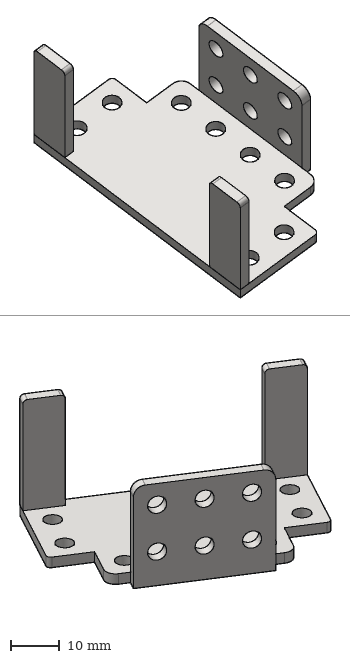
import cadquery as cq

SHEET = 2.5
BASE_WIDTH = 60.0
SHOULDER_DEPTH = 22.5
NECK_WIDTH = 40.0
NECK_DEPTH = 32.5
BACK_WIDTH = 30.0
BACK_HEIGHT = 24.0
TAB_WIDTH = 9.0
TAB_TOP = 28.5
TAB_SHIFT_X = 0.01
TAB_SETBACK = 0.005

LARGE_RADIUS = 2.5
SMALL_RADIUS = 1.0

HOLE_DIAMETER = 4.0
HOLE_PITCH = 10.0
HOLE_EDGE = 5.0
NECK_HOLES = 4
BACK_COLUMNS = 3
BACK_ROW_SPACING = 11.0

SIDE_HOLE_X = BASE_WIDTH / 2 - HOLE_EDGE
TAB_CENTRE_X = (BASE_WIDTH - TAB_WIDTH) / 2


def centred_row(count, pitch):
    """Evenly spaced positions, symmetric about zero."""
    return [(i - (count - 1) / 2) * pitch for i in range(count)]


def make_plate(width, depth, radius):
    """Flat plate with its front edge on y = 0 and its two rear corners rounded."""
    return (
        cq.Workplane("XY")
        .box(width, depth, SHEET, centered=(True, False, False))
        .edges("|Z and >Y")
        .fillet(radius)
    )


def make_wall(width, height, radius):
    """Upright wall centred in X, with its two top corners rounded."""
    return (
        cq.Workplane("XY")
        .box(width, SHEET, height, centered=(True, False, False))
        .edges("|Y and >Z")
        .fillet(radius)
    )


def make_base():
    """T-shaped base: wide shoulders in front, narrower neck behind."""
    shoulders = make_plate(BASE_WIDTH, SHOULDER_DEPTH, SMALL_RADIUS)
    neck = make_plate(NECK_WIDTH, NECK_DEPTH, LARGE_RADIUS)
    base = shoulders.union(neck)

    centres = [(x, NECK_DEPTH - HOLE_EDGE) for x in centred_row(NECK_HOLES, HOLE_PITCH)]
    rear_y = SHOULDER_DEPTH - HOLE_EDGE
    for x in (-SIDE_HOLE_X, SIDE_HOLE_X):
        for y in (rear_y, rear_y - HOLE_PITCH):
            centres.append((x, y))
    holes = cq.Workplane("XY").pushPoints(centres).circle(HOLE_DIAMETER / 2).extrude(SHEET)
    return base.cut(holes)


def make_back_wall():
    """Wall standing against the rear edge of the neck, with two rows of holes."""
    wall = make_wall(BACK_WIDTH, BACK_HEIGHT, LARGE_RADIUS)

    top_row_z = BACK_HEIGHT - HOLE_EDGE
    centres = []
    for z in (top_row_z, top_row_z - BACK_ROW_SPACING):
        for x in centred_row(BACK_COLUMNS, HOLE_PITCH):
            centres.append((x, z))
    holes = cq.Workplane("XZ").pushPoints(centres).circle(HOLE_DIAMETER / 2).extrude(-SHEET)
    return wall.cut(holes).translate((0, NECK_DEPTH, 0))


def make_tab(side):
    """Tall tab standing on a front corner of the base; side is -1 or +1."""
    tab = make_wall(TAB_WIDTH, TAB_TOP - SHEET, SMALL_RADIUS)
    return tab.translate((side * TAB_CENTRE_X + TAB_SHIFT_X, TAB_SETBACK, SHEET))


result = make_base().union(make_back_wall())
for side in (-1, 1):
    result = result.union(make_tab(side))